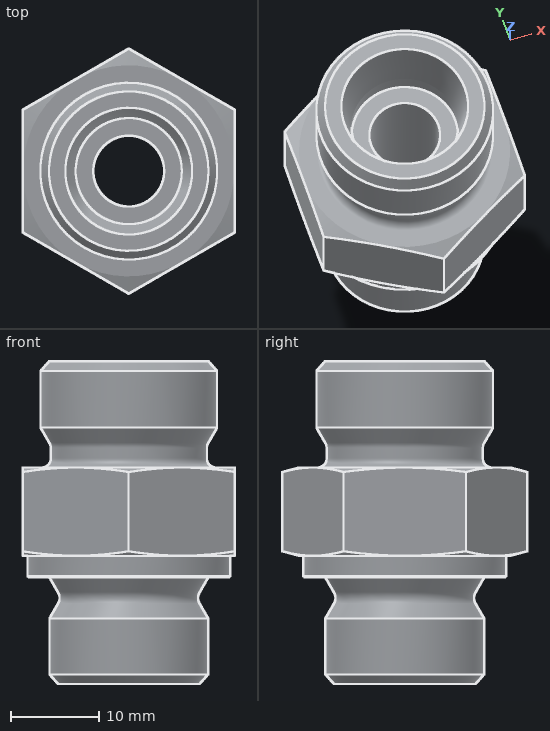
import cadquery as cq
import math

total_height = 36.5
hex_bottom = 14.5
hex_top = 24.5

across_flats = 24.0
hex_face_diameter = 23.87
hex_chamfer_angle = 15.0
hex_turn = 30.0
corner_clearance = 0.35

stud_radius = 18.0 / 2
stud_chamfer_width = 1.0
stud_chamfer_height = 1.1
stud_length = 7.4
collar_radius = 23.0 / 2
collar_bottom = 12.05
collar_chamfer = 0.2
groove_arc_half_height = 0.62

top_radius = 20.0 / 2
top_chamfer_width = 1.0
top_chamfer_height = 1.1
top_cylinder_bottom = 28.98
neck_radius = 17.7 / 2
neck_blend_radius = 1.0

flank_angle = math.radians(30)

bore_diameter = 8.0
tube_radius = 12.0 / 2
cone_mouth_radius = 14.35 / 2
cone_half_angle = math.radians(12)
socket_depth = 7.6


def make_hex():
    """Hexagonal prism with its corners turned off conically at both ends."""
    across_corners = across_flats / math.cos(math.pi / 6)
    height = hex_top - hex_bottom
    prism = (
        cq.Workplane("XY", origin=(0, 0, hex_bottom))
        .polygon(6, across_corners)
        .extrude(height)
        .rotate((0, 0, 0), (0, 0, 1), hex_turn)
    )
    face_radius = hex_face_diameter / 2
    outer_radius = across_corners / 2 + corner_clearance
    drop = (outer_radius - face_radius) * math.tan(math.radians(hex_chamfer_angle))
    envelope = (
        cq.Workplane("XZ")
        .moveTo(0, hex_bottom)
        .lineTo(face_radius, hex_bottom)
        .lineTo(outer_radius, hex_bottom + drop)
        .lineTo(outer_radius, hex_top - drop)
        .lineTo(face_radius, hex_top)
        .lineTo(0, hex_top)
        .close()
        .revolve(360, (0, 0), (0, 1))
    )
    return prism.intersect(envelope)


def make_lower_stud():
    """Chamfered stud, rounded V groove and collar below the hexagon."""
    groove_middle = (stud_length + collar_bottom) / 2
    arc_start = groove_middle - groove_arc_half_height
    arc_end = groove_middle + groove_arc_half_height
    flank_end_radius = stud_radius - (arc_start - stud_length) * math.tan(flank_angle)
    arc_radius = groove_arc_half_height / math.sin(flank_angle)
    root_radius = flank_end_radius - arc_radius * (1 - math.cos(flank_angle))
    return (
        cq.Workplane("XZ")
        .moveTo(0, 0)
        .lineTo(stud_radius - stud_chamfer_width, 0)
        .lineTo(stud_radius, stud_chamfer_height)
        .lineTo(stud_radius, stud_length)
        .lineTo(flank_end_radius, arc_start)
        .threePointArc((root_radius, groove_middle), (flank_end_radius, arc_end))
        .lineTo(stud_radius, collar_bottom)
        .lineTo(collar_radius - collar_chamfer, collar_bottom)
        .lineTo(collar_radius, collar_bottom + collar_chamfer)
        .lineTo(collar_radius, hex_bottom)
        .lineTo(0, hex_bottom)
        .close()
        .revolve(360, (0, 0), (0, 1))
    )


def make_upper_stud():
    """Neck blended into the hexagon face, flared out to the chamfered stud."""
    blend = neck_blend_radius
    quarter_middle = blend * (1 - math.cos(math.pi / 4))
    flank_start_radius = neck_radius + blend * (1 - math.cos(flank_angle))
    flank_height = (top_radius - flank_start_radius) / math.tan(flank_angle)
    flank_start = top_cylinder_bottom - flank_height
    neck_top = flank_start - blend * math.sin(flank_angle)
    half_angle = flank_angle / 2
    blend_middle = (
        neck_radius + blend * (1 - math.cos(half_angle)),
        neck_top + blend * math.sin(half_angle),
    )
    return (
        cq.Workplane("XZ")
        .moveTo(0, hex_top)
        .lineTo(neck_radius + blend, hex_top)
        .threePointArc(
            (neck_radius + quarter_middle, hex_top + quarter_middle),
            (neck_radius, hex_top + blend),
        )
        .lineTo(neck_radius, neck_top)
        .threePointArc(blend_middle, (flank_start_radius, flank_start))
        .lineTo(top_radius, top_cylinder_bottom)
        .lineTo(top_radius, total_height - top_chamfer_height)
        .lineTo(top_radius - top_chamfer_width, total_height)
        .lineTo(0, total_height)
        .close()
        .revolve(360, (0, 0), (0, 1))
    )


def make_socket():
    """Conical seat followed by a flat-bottomed cylindrical tube socket."""
    cone_depth = (cone_mouth_radius - tube_radius) / math.tan(cone_half_angle)
    return (
        cq.Workplane("XZ")
        .moveTo(0, total_height)
        .lineTo(cone_mouth_radius, total_height)
        .lineTo(tube_radius, total_height - cone_depth)
        .lineTo(tube_radius, total_height - socket_depth)
        .lineTo(0, total_height - socket_depth)
        .close()
        .revolve(360, (0, 0), (0, 1))
    )


through_bore = cq.Workplane("XY").circle(bore_diameter / 2).extrude(total_height)
body = make_hex().union(make_lower_stud()).union(make_upper_stud())
result = body.cut(make_socket()).cut(through_bore)